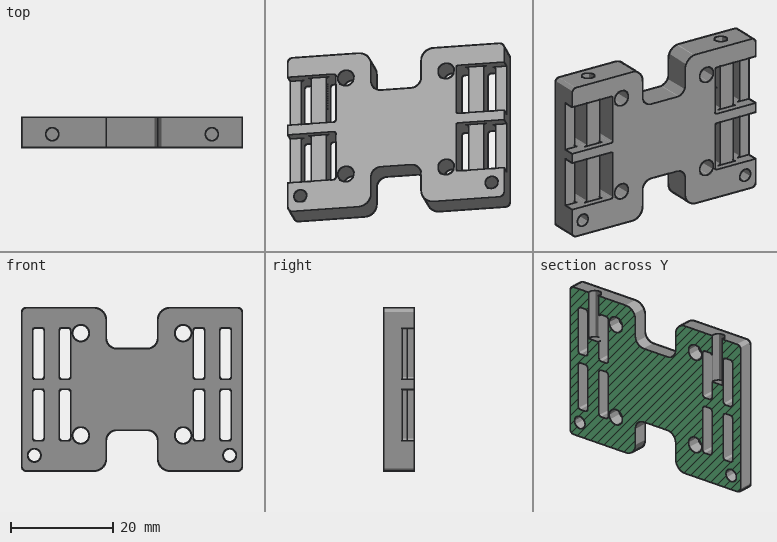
import cadquery as cq

WIDTH = 43.2
THICKNESS = 6.0
HEIGHT = 32.0
CORNER_RADIUS = 1.0

NOTCH_WIDTH = 10.0
NOTCH_DEPTH = 8.0
NOTCH_MOUTH_RADIUS = 2.5
NOTCH_ROOT_RADIUS = 2.0

PATTERN_Z = 1.0
SLOT_WIDTH = 2.2
SLOT_LENGTH = 10.0
SLOT_CORNER_RADIUS = 0.5
SLOT_PITCH_Z = 12.0
OUTER_SLOT_X = 18.3
INNER_SLOT_X = 13.1

EDGE_RECESS_DEPTH = 2.4
BRIDGE_RECESS_DEPTH = 1.4

MOUNT_HOLE_DIAMETER = 3.2
MOUNT_HOLE_PITCH = 20.0
SMALL_HOLE_DIAMETER = 2.53
CORNER_HOLE_X = 19.1
CORNER_HOLE_Z = -12.9
TOP_HOLE_X = 15.6
TOP_HOLE_Y = -0.35
TOP_HOLE_DEPTH = 10.0

SIDES = (-1, 1)
BACK_Y = THICKNESS / 2
SLOT_CENTRES_Z = [PATTERN_Z + side * SLOT_PITCH_Z / 2 for side in SIDES]


def make_plate():
    """Rounded plate with a notch in the middle of the top and bottom edges."""
    plate = cq.Workplane("XY").box(WIDTH, THICKNESS, HEIGHT).edges("|Y").fillet(CORNER_RADIUS)
    half_notch = NOTCH_WIDTH / 2
    notch_root_z = HEIGHT / 2 - NOTCH_DEPTH
    for side in SIDES:
        notch_z = side * (HEIGHT - NOTCH_DEPTH) / 2
        notch = cq.Workplane("XY").box(NOTCH_WIDTH, THICKNESS, NOTCH_DEPTH)
        plate = plate.cut(notch.translate((0, 0, notch_z)))
    plate = round_notch_edges(plate, half_notch, HEIGHT / 2, NOTCH_MOUTH_RADIUS)
    return round_notch_edges(plate, half_notch, notch_root_z, NOTCH_ROOT_RADIUS)


def round_notch_edges(plate, edge_x, edge_z, radius):
    """Fillet the four edges along Y that lie at (+-edge_x, +-edge_z)."""
    reach = radius / 2
    for side_x in SIDES:
        for side_z in SIDES:
            x = side_x * edge_x
            z = side_z * edge_z
            near_edge = cq.selectors.BoxSelector(
                (x - reach, -THICKNESS, z - reach),
                (x + reach, THICKNESS, z + reach),
            )
            plate = plate.edges("|Y").edges(near_edge).fillet(radius)
    return plate


def cut_slots(plate):
    """Through slots with small corner radii."""
    slot = cq.Workplane("XY").box(SLOT_WIDTH, THICKNESS, SLOT_LENGTH)
    slot = slot.edges("|Y").fillet(SLOT_CORNER_RADIUS)
    for side in SIDES:
        for slot_x in (OUTER_SLOT_X, INNER_SLOT_X):
            for slot_z in SLOT_CENTRES_Z:
                plate = plate.cut(slot.translate((side * slot_x, 0, slot_z)))
    return plate


def cut_back_recess(plate, inner_x, depth):
    """Recess the back face from each side edge in to inner_x, with rounded inner corners."""
    outer_x = WIDTH / 2 + 2 * SLOT_CORNER_RADIUS
    recess = cq.Workplane("XY").box(outer_x - inner_x, depth, SLOT_LENGTH)
    recess = recess.edges("|Y").fillet(SLOT_CORNER_RADIUS)
    recess_x = (inner_x + outer_x) / 2
    for side in SIDES:
        for slot_z in SLOT_CENTRES_Z:
            plate = plate.cut(recess.translate((side * recess_x, BACK_Y - depth / 2, slot_z)))
    return plate


def cut_strap_recesses(plate):
    """Strap path: deep from the side edge through the outer slot, shallow on through the inner slot."""
    half_slot = SLOT_WIDTH / 2
    plate = cut_back_recess(plate, OUTER_SLOT_X - half_slot, EDGE_RECESS_DEPTH)
    return cut_back_recess(plate, INNER_SLOT_X - half_slot, BRIDGE_RECESS_DEPTH)


def cut_through_holes(plate, centres, diameter):
    """Round holes along Y at the given (x, z) centres."""
    drills = (
        cq.Workplane("XZ", origin=(0, BACK_Y, 0))
        .pushPoints(centres)
        .circle(diameter / 2)
        .extrude(THICKNESS)
    )
    return plate.cut(drills)


def cut_top_holes(plate):
    """Blind holes down from the top edge, between the slot columns."""
    drills = (
        cq.Workplane("XY", origin=(0, TOP_HOLE_Y, HEIGHT / 2))
        .pushPoints([(side * TOP_HOLE_X, 0) for side in SIDES])
        .circle(SMALL_HOLE_DIAMETER / 2)
        .extrude(-TOP_HOLE_DEPTH)
    )
    return plate.cut(drills)


half_pitch = MOUNT_HOLE_PITCH / 2
mount_centres = [(sx * half_pitch, PATTERN_Z + sz * half_pitch) for sx in SIDES for sz in SIDES]
corner_centres = [(side * CORNER_HOLE_X, CORNER_HOLE_Z) for side in SIDES]

body = make_plate()
body = cut_slots(body)
body = cut_strap_recesses(body)
body = cut_through_holes(body, mount_centres, MOUNT_HOLE_DIAMETER)
body = cut_through_holes(body, corner_centres, SMALL_HOLE_DIAMETER)
result = cut_top_holes(body)